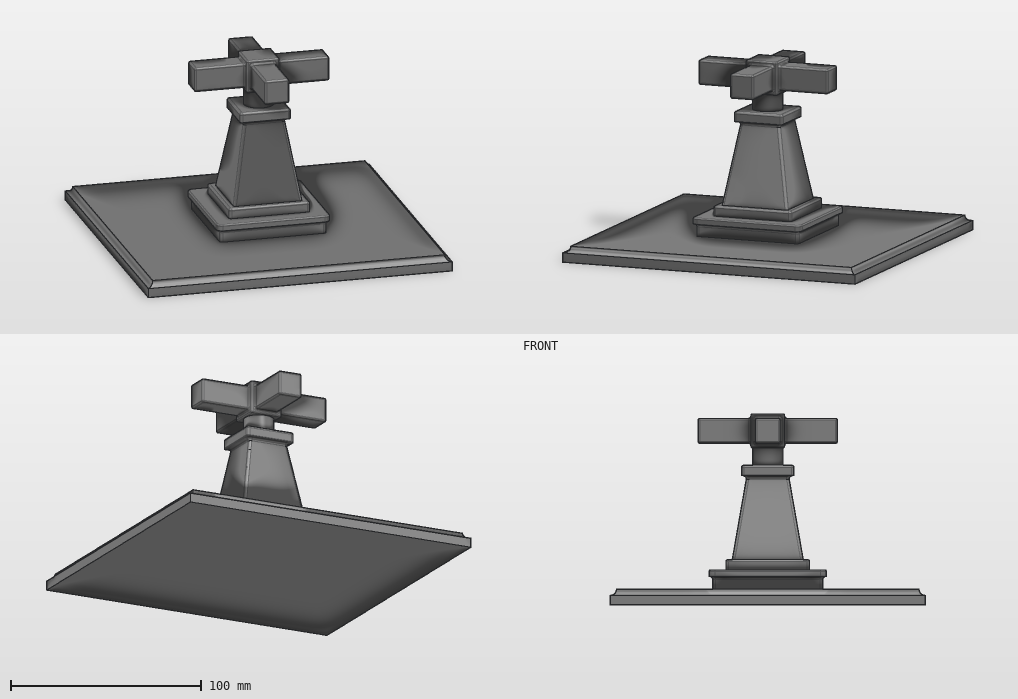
import cadquery as cq

PLATE_SIZE = 165.1
PLATE_RIM_TOP = 5.0
PLATE_TOP = 8.2
PLATE_FIELD_INSET = 3.2
PLATE_COVE_RADIUS = 3.1

FLANGE_SIZE = 57.8
FLANGE_LIP_SIZE = 61.4
FLANGE_LIP_BOTTOM = 14.8
FLANGE_TOP = 18.3
FLANGE_CORNER_RADIUS = 1.6
FLANGE_LIP_CORNER_RADIUS = 3.0
FLANGE_LIP_TOP_RADIUS = 0.7
FLANGE_LIP_BOTTOM_RADIUS = 0.3
FLANGE_COVE_RADIUS = 1.4

FOOT_SIZE = 44.0
FOOT_TOP = 23.7
FOOT_CORNER_RADIUS = 1.4
FOOT_TOP_RADIUS = 1.1

COLUMN_BASE_SIZE = 37.3
COLUMN_TOP_SIZE = 22.6
COLUMN_TOP = 65.8
COLUMN_CORNER_RADIUS = 1.4

COLLAR_SIZE = 27.5
COLLAR_TOP = 73.2
COLLAR_CORNER_RADIUS = 1.4
COLLAR_TOP_RADIUS = 1.2
COLLAR_BOTTOM_RADIUS = 0.4
COLLAR_COVE_RADIUS = 1.9
COLLAR_BOTTOM = COLUMN_TOP + COLLAR_COVE_RADIUS

STEM_DIAMETER = 16.0
HANDLE_TOP = 100.11
HUB_SIZE = 17.8
HUB_EDGE_RADIUS = 0.85
ARM_SIZE = 13.1
ARM_SPAN = 73.0
ARM_EDGE_RADIUS = 1.0
ARM_ROOT_RADIUS = 1.2
HUB_CENTER = HANDLE_TOP - HUB_SIZE / 2

SELECTION_MARGIN = 0.05
OVERLAP = 1.0


def square_block(size, bottom, top):
    """Upright square block centred on the Z axis."""
    return cq.Workplane("XY").workplane(offset=bottom).rect(size, size).extrude(top - bottom)


def rounded_block(size, bottom, top, corner_radius):
    """Upright square block with rounded vertical edges."""
    return square_block(size, bottom, top).edges("|Z").fillet(corner_radius)


def edges_in_box(size_x, size_y, size_z, center):
    """Selector for the edges lying wholly inside a slightly enlarged box."""
    halves = [size / 2 + SELECTION_MARGIN for size in (size_x, size_y, size_z)]
    low = [middle - half for middle, half in zip(center, halves)]
    high = [middle + half for middle, half in zip(center, halves)]
    return cq.selectors.BoxSelector(low, high, boundingbox=True)


def edges_on_square(size, height):
    """Selector for the edges of a horizontal square centred on the Z axis."""
    return edges_in_box(size, size, 0, (0, 0, height))


def make_plate():
    field_size = PLATE_SIZE - 2 * PLATE_FIELD_INSET
    rim = square_block(PLATE_SIZE, 0, PLATE_RIM_TOP)
    plate = rim.union(square_block(field_size, 0, PLATE_TOP))
    return plate.edges(edges_on_square(field_size, PLATE_RIM_TOP)).fillet(PLATE_COVE_RADIUS)


def make_flange():
    lip = rounded_block(FLANGE_LIP_SIZE, FLANGE_LIP_BOTTOM, FLANGE_TOP, FLANGE_LIP_CORNER_RADIUS)
    lip = lip.faces(">Z").edges().fillet(FLANGE_LIP_TOP_RADIUS)
    lip = lip.faces("<Z").edges().fillet(FLANGE_LIP_BOTTOM_RADIUS)
    base_block = rounded_block(FLANGE_SIZE, PLATE_TOP, FLANGE_LIP_BOTTOM, FLANGE_CORNER_RADIUS)
    flange = lip.union(base_block)
    return flange.edges(edges_on_square(FLANGE_SIZE, FLANGE_LIP_BOTTOM)).fillet(FLANGE_COVE_RADIUS)


def make_foot():
    foot = rounded_block(FOOT_SIZE, FLANGE_TOP, FOOT_TOP, FOOT_CORNER_RADIUS)
    return foot.faces(">Z").edges().fillet(FOOT_TOP_RADIUS)


def make_column():
    """Square frustum with its four sloping edges rounded."""
    column = (
        cq.Workplane("XY")
        .workplane(offset=FOOT_TOP)
        .rect(COLUMN_BASE_SIZE, COLUMN_BASE_SIZE)
        .workplane(offset=COLUMN_TOP - FOOT_TOP)
        .rect(COLUMN_TOP_SIZE, COLUMN_TOP_SIZE)
        .loft(ruled=True)
    )
    return column.edges("not (|X or |Y)").fillet(COLUMN_CORNER_RADIUS)


def make_collar():
    """Cap with a short neck that runs down inside the column top."""
    cap = rounded_block(COLLAR_SIZE, COLLAR_BOTTOM, COLLAR_TOP, COLLAR_CORNER_RADIUS)
    cap = cap.faces(">Z").edges().fillet(COLLAR_TOP_RADIUS)
    cap = cap.faces("<Z").edges().fillet(COLLAR_BOTTOM_RADIUS)
    neck = rounded_block(COLUMN_TOP_SIZE, COLUMN_TOP - OVERLAP, COLLAR_BOTTOM, COLUMN_CORNER_RADIUS)
    collar = cap.union(neck)
    return collar.edges(edges_on_square(COLUMN_TOP_SIZE, COLLAR_BOTTOM)).fillet(COLLAR_COVE_RADIUS)


def make_stem():
    """Round stem from the collar up into the hub."""
    height = HUB_CENTER - COLLAR_TOP
    return cq.Workplane("XY").workplane(offset=COLLAR_TOP).circle(STEM_DIAMETER / 2).extrude(height)


def make_handle():
    """Hub with a pair of crossed bars through it, coved where each arm leaves the hub."""
    hub = cq.Workplane("XY").box(HUB_SIZE, HUB_SIZE, HUB_SIZE)
    handle = hub.edges().fillet(HUB_EDGE_RADIUS)
    bar = cq.Workplane("XY").box(ARM_SPAN, ARM_SIZE, ARM_SIZE).edges().fillet(ARM_EDGE_RADIUS)
    handle = handle.union(bar).union(bar.rotate((0, 0, 0), (0, 0, 1), 90))
    for offset in (-HUB_SIZE / 2, HUB_SIZE / 2):
        for root in (
            edges_in_box(0, ARM_SIZE, ARM_SIZE, (offset, 0, 0)),
            edges_in_box(ARM_SIZE, 0, ARM_SIZE, (0, offset, 0)),
        ):
            handle = handle.edges(root).fillet(ARM_ROOT_RADIUS)
    return handle.translate((0, 0, HUB_CENTER))


result = make_plate()
for section in (make_flange(), make_foot(), make_column(), make_collar(), make_stem(), make_handle()):
    result = result.union(section)